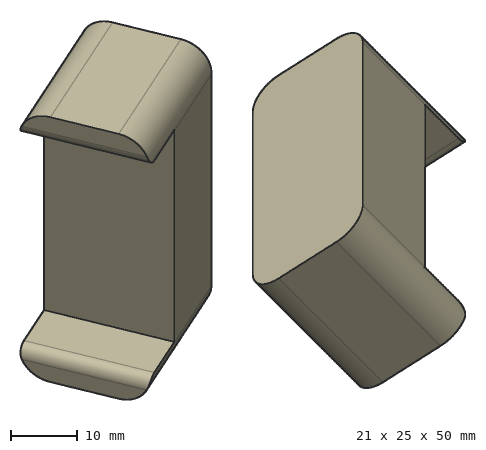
import cadquery as cq

width = 21.0
depth = 25.0
height = 50.0

corner_radius = 5.0
arm_thickness = corner_radius
arm_reach = 10.0
tip_radius = 2.0


def rounded_body():
    """Block centred on the origin, rounded along its four Y edges."""
    return cq.Workplane("XY").box(width, depth, height).edges("|Y").fillet(corner_radius)


def arm_gap():
    """Space between the two arms, open towards -Y and on both X sides."""
    gap_height = height - 2 * arm_thickness
    gap_center_y = -depth / 2 + arm_reach / 2
    return cq.Workplane("XY").box(width, arm_reach, gap_height).translate((0, gap_center_y, 0))


def tip_rounding(side):
    """Material outside the rounded inner edge of one arm tip; side is +1 for top, -1 for bottom."""
    tip_y = -depth / 2
    inner_z = side * (height / 2 - arm_thickness)
    edge_block = (
        cq.Workplane("XY")
        .box(width, tip_radius, tip_radius)
        .translate((0, tip_y + tip_radius / 2, inner_z + side * tip_radius / 2))
    )
    round_rod = (
        cq.Workplane("YZ")
        .center(tip_y + tip_radius, inner_z + side * tip_radius)
        .circle(tip_radius)
        .extrude(width / 2, both=True)
    )
    return edge_block.cut(round_rod)


result = rounded_body().cut(arm_gap())
for arm_side in (1, -1):
    result = result.cut(tip_rounding(arm_side))